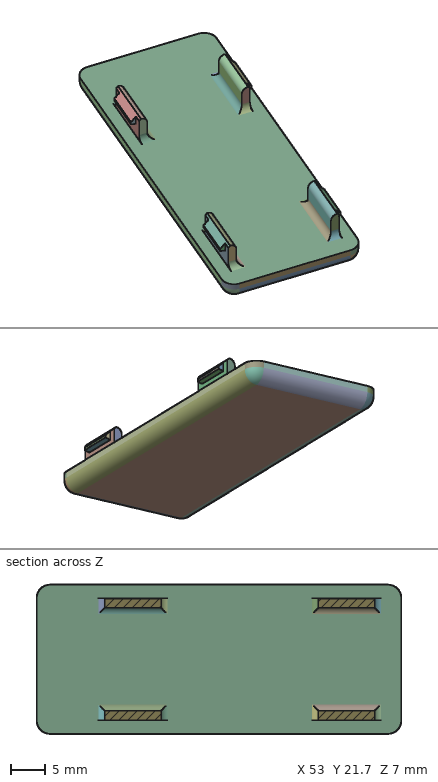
import cadquery as cq
import math

plate_length = 52.95
plate_width = 21.7
plate_thickness = 3.0
plate_radius = 2.0

total_height = 7.0
clip_width = 8.0
clip_thickness = 1.3
clip_outer_y = plate_width / 2 - plate_radius
clip_centers_x = (-12.5, 18.5)
root_radius = 1.0
inner_top_radius = 1.0
outer_top_chamfer = clip_thickness - inner_top_radius
root_overlap = 0.5

hook_width = 5.8
hook_reach = 0.8
hook_tip_height = 0.4
hook_underside_drop = 0.2

clip_inner_y = clip_outer_y - clip_thickness
root_top = plate_thickness + root_radius
root_bottom = plate_thickness - root_overlap
DIAGONAL = math.sqrt(0.5)


def make_plate():
    """Rounded rectangular plate with a fully rounded bottom edge."""
    plate = cq.Workplane("XY").box(
        plate_length, plate_width, plate_thickness, centered=(True, True, False)
    )
    plate = plate.edges("|Z").fillet(plate_radius)
    return plate.faces("<Z").edges().fillet(plate_radius)


def make_clip_side():
    """Clip cross-section in YZ: rounded top, flared root on the inner side only."""
    bend = root_radius * (1 - DIAGONAL)
    inner_inset = inner_top_radius * (1 - DIAGONAL)
    length = clip_width + 2 * root_radius
    return (
        cq.Workplane("YZ")
        .moveTo(clip_outer_y, root_bottom)
        .lineTo(clip_outer_y, total_height - outer_top_chamfer)
        .lineTo(clip_outer_y - outer_top_chamfer, total_height)
        .threePointArc(
            (clip_inner_y + inner_inset, total_height - inner_inset),
            (clip_inner_y, total_height - inner_top_radius),
        )
        .lineTo(clip_inner_y, root_top)
        .threePointArc(
            (clip_inner_y - bend, plate_thickness + bend),
            (clip_inner_y - root_radius, plate_thickness),
        )
        .lineTo(clip_inner_y - root_radius, root_bottom)
        .close()
        .extrude(length / 2, both=True)
    )


def make_clip_front():
    """Clip outline in XZ: straight sides with a flared root at both ends."""
    half = clip_width / 2
    flared = half + root_radius
    bend = root_radius * (1 - DIAGONAL)
    return (
        cq.Workplane("XZ")
        .moveTo(-flared, root_bottom)
        .lineTo(flared, root_bottom)
        .lineTo(flared, plate_thickness)
        .threePointArc((half + bend, plate_thickness + bend), (half, root_top))
        .lineTo(half, total_height)
        .lineTo(-half, total_height)
        .lineTo(-half, root_top)
        .threePointArc((-half - bend, plate_thickness + bend), (-flared, plate_thickness))
        .close()
        .extrude(plate_width / 2, both=True)
    )


def make_hook():
    """Snap hook whose 45 degree ramp continues the clip's outer top chamfer."""
    ramp_top_y = clip_outer_y - outer_top_chamfer
    tip_y = clip_outer_y + hook_reach
    tip_top = total_height - (tip_y - ramp_top_y)
    tip_bottom = tip_top - hook_tip_height
    underside_z = tip_bottom - hook_underside_drop
    return (
        cq.Workplane("YZ")
        .moveTo(ramp_top_y, total_height)
        .lineTo(tip_y, tip_top)
        .lineTo(tip_y, tip_bottom)
        .lineTo(clip_outer_y, underside_z)
        .lineTo(ramp_top_y, underside_z)
        .close()
        .extrude(hook_width / 2, both=True)
    )


def make_clip():
    """Complete +Y clip centred on X = 0; crossing both outlines mitres the root flares."""
    return make_clip_side().intersect(make_clip_front()).union(make_hook())


result = make_plate()
clip = make_clip()
for center_x in clip_centers_x:
    placed = clip.translate((center_x, 0, 0))
    result = result.union(placed).union(placed.mirror("XZ"))